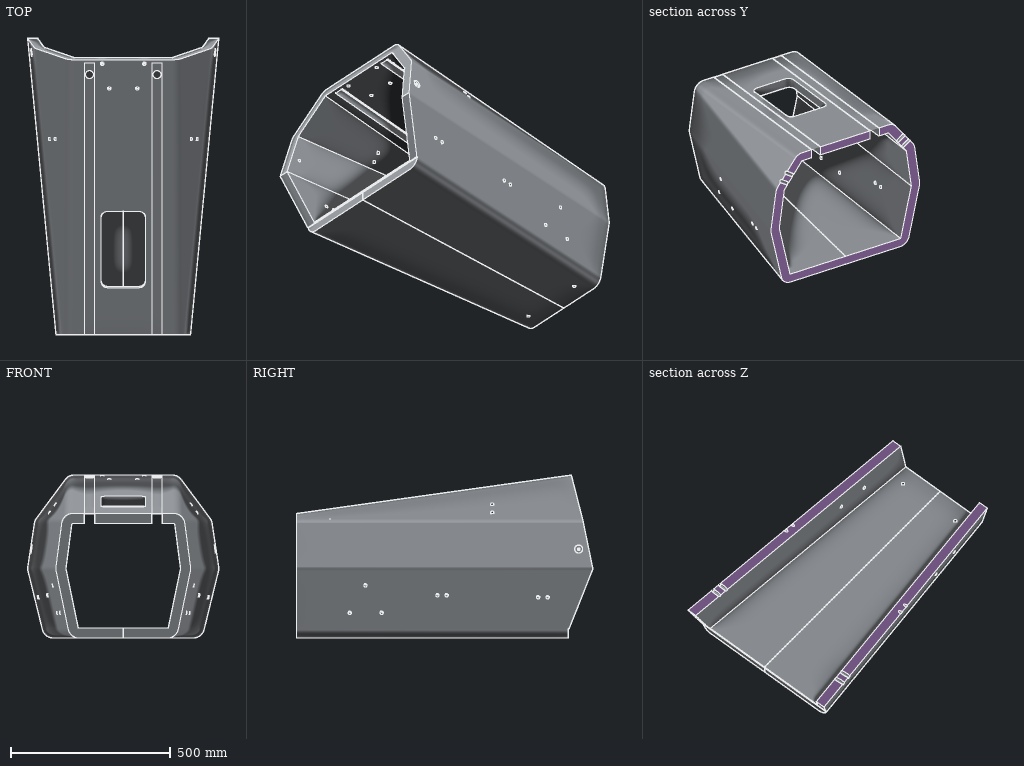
import cadquery as cq
import math

WALL = 32.0
SIDE_TAPER = 0.0955

BOTTOM_CORNER = (167.0, 0.0)
RIDGE = (211.95, 217.0)
SHOULDER = (192.0, 368.8)
ROOF_CORNER = (175.9, 391.2)

CORNER_RADIUS = 35.0

RIDGE_REAR_Y = 930.27
SHOULDER_REAR_Y = 899.0
ROOF_REAR = (862.5, 511.94)
FLOOR_REAR_Y = 853.0
FLOOR_REAR_HEIGHT = 29.0
FLANK_REAR_Y = 855.5
ROOF_SLOPE = (ROOF_REAR[1] - ROOF_CORNER[1]) / ROOF_REAR[0]
OVERRUN = 50.0

FLOOR_SLIT_WIDTH = 1.0
FLOOR_HOLE_DIAMETER = 10.0
FLOOR_HOLE = (107.0, 53.5)

WINDOW_WIDTH = 139.0
WINDOW_FRONT_Y = 147.4
WINDOW_REAR_Y = 386.8
WINDOW_RADIUS = 20.0
CHANNEL_X = 106.0
CHANNEL_WIDTH = 32.0
CHANNEL_REAR_Y = 853.0
CHANNEL_RECESS = 0.5
CHANNEL_SKIN = 1.5
CABLE_HOLE_DIAMETER = 25.0
CABLE_HOLE_Y = 816.0
ROOF_HOLE_DIAMETER = 10.0
ROOF_HOLES = [(66.0, 849.5), (44.0, 772.5)]

FLANK_HOLE_DIAMETER = 10.0
UPPER_FLANK_HOLES = [(614.0, 420.0), (614.0, 394.5)]
LOWER_FLANK_HOLES = [
    (788.0, 127.7), (758.0, 127.7),
    (471.0, 134.0), (442.0, 134.0),
    (216.0, 165.0), (267.0, 79.0), (167.0, 79.0),
]
PIVOT = (885.0, 279.6)
PIVOT_DIAMETER = 8.0
PIVOT_RECESS_DIAMETER = 25.0
PIVOT_RECESS_DEPTH = 5.0


class Panel:
    """A flat outer panel: a section line at Y = 0 that shifts outward along Y."""

    def __init__(self, start, end, growth):
        length = math.hypot(end[0] - start[0], end[1] - start[1])
        self.start = start
        self.nx = (end[1] - start[1]) / length
        self.nz = (start[0] - end[0]) / length
        self.rate = growth[0] * self.nx + growth[1] * self.nz
        self.normal = cq.Vector(self.nx, -self.rate, self.nz).normalized()

    def reach(self, y, inset):
        """Distance of the section line from the origin at station y, moved inward by inset."""
        base = self.start[0] * self.nx + self.start[1] * self.nz
        return base + self.rate * y - inset * math.hypot(1, self.rate)

    def x_at(self, y, z):
        return (self.reach(y, 0) - self.nz * z) / self.nx


FLOOR = Panel((0, 0), BOTTOM_CORNER, (0, 0))
LOWER_FLANK = Panel(BOTTOM_CORNER, RIDGE, (SIDE_TAPER, 0))
MIDDLE_FLANK = Panel(RIDGE, SHOULDER, (SIDE_TAPER, 0))
UPPER_FLANK = Panel(SHOULDER, ROOF_CORNER, (SIDE_TAPER, 0))
ROOF = Panel(ROOF_CORNER, (0, ROOF_CORNER[1]), (0, ROOF_SLOPE))
PANELS = [FLOOR, LOWER_FLANK, MIDDLE_FLANK, UPPER_FLANK, ROOF]


def section(y, inset):
    """Corners of the closed section at station y, with all panels moved inward by inset."""
    right = []
    for a, b in zip(PANELS, PANELS[1:]):
        ra = a.reach(y, inset)
        rb = b.reach(y, inset)
        det = a.nx * b.nz - a.nz * b.nx
        right.append(cq.Vector((ra * b.nz - rb * a.nz) / det, y, (a.nx * rb - b.nx * ra) / det))
    left = [cq.Vector(-p.x, p.y, p.z) for p in reversed(right)]
    return right + left


def tapered_body(y_front, y_rear, inset):
    """Flat-faced solid between the sections at two stations."""
    front = section(y_front, inset)
    rear = section(y_rear, inset)
    loops = [front, rear]
    for i in range(len(front)):
        j = (i + 1) % len(front)
        loops.append([front[i], front[j], rear[j], rear[i]])
    faces = [cq.Face.makeFromWires(cq.Wire.makePolygon(loop, close=True)) for loop in loops]
    return cq.Workplane(cq.Solid.makeSolid(cq.Shell.makeShell(faces)))


def is_long_edge(edge):
    """True for the long outer edges, which run within 45 degrees of Y."""
    return abs(edge.tangentAt(0.5).y) > math.sqrt(0.5)


def make_shell():
    rear = RIDGE_REAR_Y + OVERRUN
    outer = tapered_body(0, rear, 0)
    long_edges = [e for e in outer.edges().vals() if is_long_edge(e)]
    outer = outer.newObject(long_edges).fillet(CORNER_RADIUS)
    return outer.cut(tapered_body(-OVERRUN, rear + OVERRUN, WALL))


def rear_trim():
    """Side profile to keep: the rear end slopes away above and below the ridge."""
    half_width = RIDGE_REAR_Y
    above_roof = ROOF_REAR[1] + OVERRUN
    profile = [
        (0, 0), (FLOOR_REAR_Y, 0), (FLOOR_REAR_Y, FLOOR_REAR_HEIGHT),
        (FLANK_REAR_Y, FLOOR_REAR_HEIGHT), (RIDGE_REAR_Y, RIDGE[1]),
        (SHOULDER_REAR_Y, SHOULDER[1]), ROOF_REAR,
        (ROOF_REAR[0], above_roof), (0, above_roof),
    ]
    return cq.Workplane("YZ").polyline(profile).close().extrude(half_width, both=True)


def drill(panel, side, y, z, diameter, depth):
    """Round cutter square to a flank, entering from outside by depth."""
    out = cq.Vector(side * panel.normal.x, panel.normal.y, panel.normal.z)
    surface = cq.Vector(side * panel.x_at(y, z), y, z)
    cutter = cq.Solid.makeCylinder(diameter / 2, depth + WALL, surface + out * WALL, out * -1)
    return cq.Workplane(cutter)


def roof_plane():
    """Workplane on the roof; local x is X and local y runs rearward up the slope."""
    plane = cq.Plane(origin=(0, 0, ROOF_CORNER[1]), xDir=(1, 0, 0), normal=ROOF.normal.toTuple())
    return cq.Workplane(plane)


def up_slope(y):
    """Distance along the roof from the front edge to station y."""
    return y * math.hypot(1, ROOF_SLOPE)


def cut_floor_slit(body):
    slit = cq.Workplane("XY").box(FLOOR_SLIT_WIDTH, 2 * RIDGE_REAR_Y, 3 * WALL)
    return body.cut(slit)


def cut_floor_holes(body):
    x, y = FLOOR_HOLE
    holes = cq.Workplane("XY").pushPoints([(-x, y), (x, y)]).circle(FLOOR_HOLE_DIAMETER / 2)
    return body.cut(holes.extrude(2 * WALL))


def cut_window(body):
    length = up_slope(WINDOW_REAR_Y - WINDOW_FRONT_Y)
    middle = up_slope((WINDOW_REAR_Y + WINDOW_FRONT_Y) / 2)
    window = roof_plane().center(0, middle).rect(WINDOW_WIDTH, length).extrude(-2 * WALL)
    corners = cq.selectors.ParallelDirSelector(ROOF.normal)
    return body.cut(window.edges(corners).fillet(WINDOW_RADIUS))


def channel_cutter(x, top, depth):
    """Bar along the roof from past the front end to the channel end, top below the surface."""
    length = up_slope(CHANNEL_REAR_Y)
    return (
        roof_plane().workplane(offset=-top).center(x, (length - OVERRUN) / 2)
        .rect(CHANNEL_WIDTH, length + OVERRUN).extrude(-depth)
    )


def cut_channels(body):
    """Channels through the roof, each bridged near the top by a thin skin with one cable hole."""
    for x in (-CHANNEL_X, CHANNEL_X):
        recess = channel_cutter(x, -OVERRUN, OVERRUN + CHANNEL_RECESS)
        channel = channel_cutter(x, CHANNEL_RECESS + CHANNEL_SKIN, WALL)
        hole = roof_plane().center(x, up_slope(CABLE_HOLE_Y)).circle(CABLE_HOLE_DIAMETER / 2)
        body = body.cut(recess).cut(channel).cut(hole.extrude(-2 * WALL))
    return body


def cut_roof_holes(body):
    places = [(side * x, up_slope(y)) for x, y in ROOF_HOLES for side in (-1, 1)]
    holes = roof_plane().pushPoints(places).circle(ROOF_HOLE_DIAMETER / 2).extrude(-2 * WALL)
    return body.cut(holes)


def cut_flank_holes(body):
    through = 1.5 * WALL
    for side in (-1, 1):
        for y, z in UPPER_FLANK_HOLES:
            body = body.cut(drill(UPPER_FLANK, side, y, z, FLANK_HOLE_DIAMETER, through))
        for y, z in LOWER_FLANK_HOLES:
            body = body.cut(drill(LOWER_FLANK, side, y, z, FLANK_HOLE_DIAMETER, through))
        body = body.cut(drill(MIDDLE_FLANK, side, *PIVOT, PIVOT_DIAMETER, through))
        body = body.cut(drill(MIDDLE_FLANK, side, *PIVOT, PIVOT_RECESS_DIAMETER, PIVOT_RECESS_DEPTH))
    return body


body = make_shell().intersect(rear_trim())
body = cut_floor_slit(body)
body = cut_floor_holes(body)
body = cut_window(body)
body = cut_channels(body)
body = cut_roof_holes(body)
result = cut_flank_holes(body)